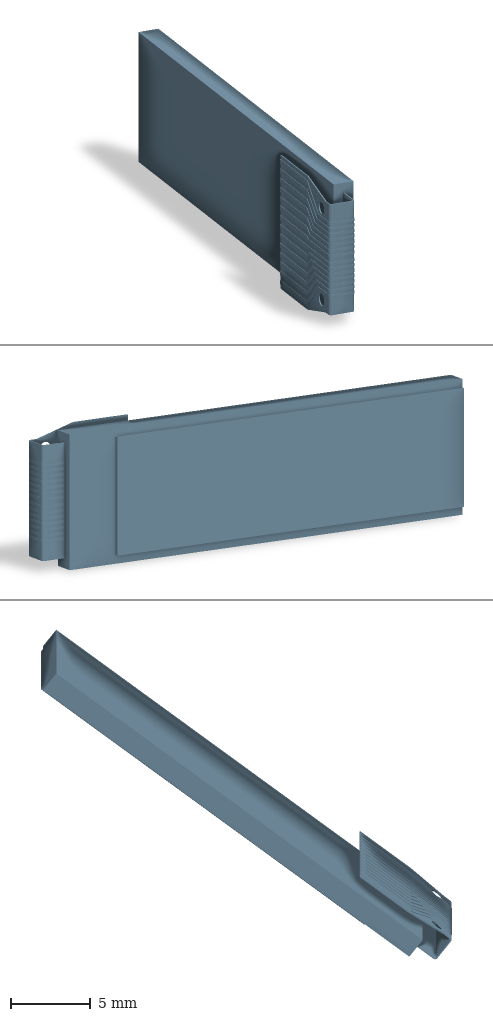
import cadquery as cq

overall_length = 30.65
overall_depth = 2.6
body_length = 29.02
body_depth = 1.38
body_height = 8.75
panel_length = 25.6
panel_depth = 0.18
panel_height = 7.65

film_thickness = 0.077
trace_thickness = 0.03
inner_leg_y = 0.75
fold_radius = 0.18
tail_start = 23.3
tail_height = 9.0
fold_height = 7.48
taper_start = 27.3
taper_end = 30.0
hole_diameter = 0.8
hole_x = 29.38
hole_spacing = 6.2

traces_per_side = 7
first_edge_z = 0.15
wide_outer_z = 4.23
narrow_outer_z = 2.55

front_trace_y = body_depth + panel_depth - overall_depth
front_film_y = front_trace_y + trace_thickness
film_end_x = overall_length - trace_thickness


def folded_sheet(leg_start, outset, thickness, height):
    """U-shaped sheet whose outer face lies `outset` outside the film."""
    end_x = film_end_x + outset
    front_y = front_film_y - outset
    rear_y = inner_leg_y + outset
    radius = fold_radius + outset
    inner_radius = radius - thickness
    inner_x = end_x - thickness
    sketch = (
        cq.Workplane("XY")
        .moveTo(leg_start, front_y)
        .lineTo(end_x - radius, front_y)
        .radiusArc((end_x, front_y + radius), -radius)
        .lineTo(end_x, rear_y - radius)
        .radiusArc((end_x - radius, rear_y), -radius)
        .lineTo(body_length, rear_y)
        .lineTo(body_length, rear_y - thickness)
        .lineTo(end_x - radius, rear_y - thickness)
        .radiusArc((inner_x, rear_y - radius), inner_radius)
        .lineTo(inner_x, front_y + radius)
        .radiusArc((inner_x - inner_radius, front_y + thickness), inner_radius)
        .lineTo(leg_start, front_y + thickness)
        .close()
    )
    return sketch.extrude(height / 2, both=True)


def make_body():
    body = cq.Workplane("XY").box(body_length, body_depth, body_height, centered=(False, False, True))
    panel = (
        cq.Workplane("XY", origin=(0, body_depth, 0))
        .box(panel_length, panel_depth, panel_height, centered=(False, False, True))
    )
    return body.union(panel)


def make_film():
    fold = folded_sheet(taper_end, 0, film_thickness, fold_height)
    front_leg = (
        cq.Workplane("XZ", origin=(0, front_film_y, 0))
        .polyline([
            (tail_start, -tail_height / 2),
            (taper_start, -tail_height / 2),
            (taper_end, -fold_height / 2),
            (taper_end, fold_height / 2),
            (taper_start, tail_height / 2),
            (tail_start, tail_height / 2),
        ])
        .close()
        .extrude(-film_thickness)
    )
    holes = (
        cq.Workplane("XZ", origin=(0, front_film_y, 0))
        .pushPoints([(hole_x, -hole_spacing / 2), (hole_x, hole_spacing / 2)])
        .circle(hole_diameter / 2)
        .extrude(-film_thickness)
    )
    return fold.union(front_leg).cut(holes)


def trace_edge(index):
    """Points along one trace edge: straight, 45 degrees inwards, straight."""
    edge_count = 2 * traces_per_side
    fraction = index / (edge_count - 1)
    wide_z = first_edge_z + fraction * (wide_outer_z - first_edge_z)
    narrow_z = first_edge_z + fraction * (narrow_outer_z - first_edge_z)
    points = [(tail_start, wide_z), (taper_start, wide_z)]
    if index > 0:
        points.append((taper_start + wide_z - narrow_z, narrow_z))
    points.append((overall_length, narrow_z))
    return points


def make_traces():
    """Trace outlines cut from a thin copper sheet that wraps the film."""
    outlines = cq.Workplane("XZ", origin=(0, front_trace_y, 0))
    for trace in range(traces_per_side):
        lower = trace_edge(2 * trace)
        upper = trace_edge(2 * trace + 1)
        outline = lower + upper[::-1]
        mirrored = [(x, -z) for x, z in outline]
        outlines = outlines.polyline(outline).close().polyline(mirrored).close()
    columns = outlines.extrude(-overall_depth)
    copper = folded_sheet(tail_start, trace_thickness, trace_thickness, tail_height)
    return columns.intersect(copper)


result = make_body().union(make_film()).union(make_traces())